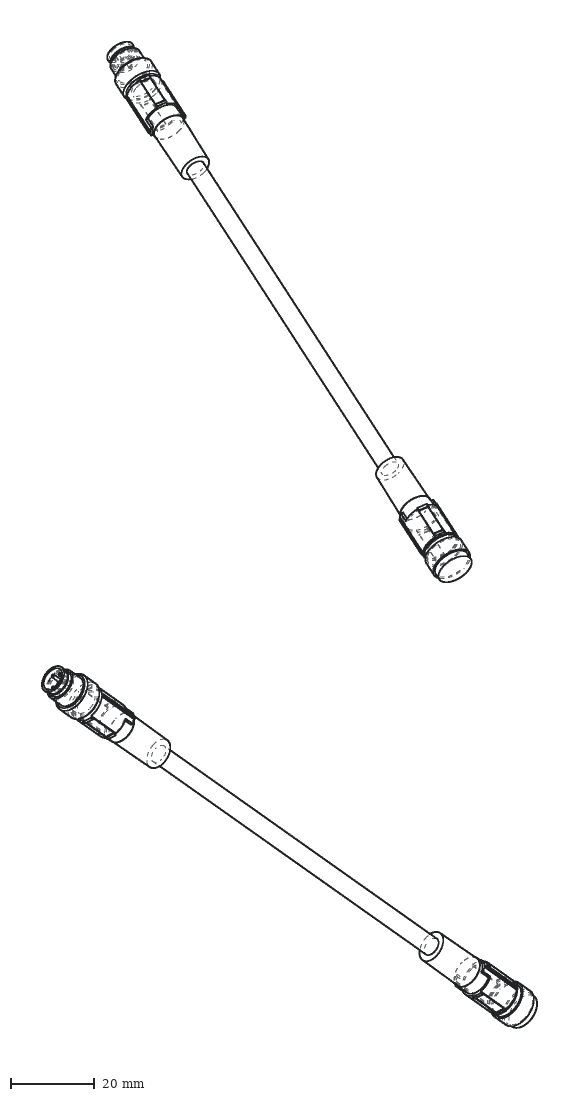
import cadquery as cq
import math

total_length = 172.4
grip_diameter = 10.0

cable_diameter = 4.6
sleeve_diameter = 8.0
sleeve_cable_end_width = 7.5
plug_sleeve_start = 25.1
plug_sleeve_end = 38.7
socket_sleeve_start = 138.8
socket_sleeve_end = 151.9

body_diameter = 9.3
neck_diameter = 8.2
plug_body_start = 12.5
plug_body_end = 21.6
socket_body_start = 155.4
socket_body_end = 164.7

pad_width = 2.6
pad_rim = 0.8
pad_recess = 0.3

panel_width = 3.2
fin_thickness = 0.6
plug_panel_end = 24.3
socket_panel_start = 152.8
fin_chamfer = 0.5

nose_diameter = 7.0
nose_groove_diameter = 6.4
nose_lip_end = 0.4
nose_groove_end = 1.6
nose_end = 2.6
shank_diameter = 8.0

ring_start = 6.4
ring_end = 11.7
ring_chamfer_length = 0.5
ring_edge_diameter = 9.0
plug_groove_diameter = 6.2

nut_gap_width = 0.4
nut_gap_diameter = 8.4
nut_diameter = 9.0
band_start = 166.5
band_end = 170.6

chamber_diameter = 5.8
chamber_depth = 4.0
pin_diameter = 0.8
pin_circle_radius = 1.9
pin_angles = (68, 141, 219, 292)
pin_setback = 0.8


def cylinder(diameter, start, end):
    """Round bar on the X axis between two stations."""
    return cq.Workplane("YZ", origin=(start, 0, 0)).circle(diameter / 2).extrude(end - start)


def centered_box(start, end, width, height):
    """Block centered on the X axis, between two stations."""
    return cq.Workplane("YZ", origin=(start, 0, 0)).rect(width, height).extrude(end - start)


def revolved(profile):
    """Solid of revolution about the X axis from (station, radius) points."""
    return cq.Workplane("XY").polyline(profile).close().revolve(360, (0, 0, 0), (1, 0, 0))


def plug_nose():
    """Grooved nose and the shank behind it; the groove has a sloped front wall."""
    nose_radius = nose_diameter / 2
    return revolved(
        [
            (0, 0),
            (0, nose_radius),
            (nose_lip_end, nose_radius),
            (nose_groove_end, nose_groove_diameter / 2),
            (nose_groove_end, nose_radius),
            (nose_end, nose_radius),
            (nose_end, shank_diameter / 2),
            (ring_start, shank_diameter / 2),
            (ring_start, 0),
        ]
    )


def coupling_ring():
    """Ring with both edges chamfered."""
    edge_radius = ring_edge_diameter / 2
    outer_radius = grip_diameter / 2
    return revolved(
        [
            (ring_start, 0),
            (ring_start, edge_radius),
            (ring_start + ring_chamfer_length, outer_radius),
            (ring_end - ring_chamfer_length, outer_radius),
            (ring_end, edge_radius),
            (ring_end, 0),
        ]
    )


def grip(start, end, panels_start, panels_end):
    """Round body with recessed pads at top and bottom and finned panels on both sides."""
    body = cylinder(body_diameter, start, end)

    panels = cylinder(body_diameter, panels_start, panels_end)
    body = body.union(panels.intersect(centered_box(panels_start, panels_end, grip_diameter, panel_width)))

    fins = centered_box(panels_start, panels_end, grip_diameter, fin_thickness)
    if panels_start < start:
        fins = fins.faces("<X").edges("|Z").chamfer(fin_chamfer)
    body = body.union(fins)

    body = body.union(centered_box(start, end, pad_width, grip_diameter))
    recess_start = start + pad_rim
    recess_end = end - pad_rim
    recess_blank = centered_box(recess_start, recess_end, pad_width, grip_diameter)
    recess_floor = centered_box(recess_start, recess_end, pad_width, grip_diameter - 2 * pad_recess)
    return body.cut(recess_blank.cut(recess_floor))


def sleeve(grip_end, cable_end):
    """Strain relief, round at the grip and narrowing in Y toward the cable."""
    radius = sleeve_diameter / 2
    return (
        cq.Workplane("YZ", origin=(grip_end, 0, 0))
        .ellipse(radius, radius)
        .workplane(offset=cable_end - grip_end)
        .ellipse(sleeve_cable_end_width / 2, radius)
        .loft()
    )


def contact_chamber():
    """Space inside the plug nose, around the contact pins."""
    chamber = cylinder(chamber_diameter, 0, chamber_depth)
    for angle in pin_angles:
        pin_y = pin_circle_radius * math.cos(math.radians(angle))
        pin_z = pin_circle_radius * math.sin(math.radians(angle))
        pin = cylinder(pin_diameter, pin_setback, chamber_depth).translate((0, pin_y, pin_z))
        chamber = chamber.cut(pin)
    return chamber


plain_sections = (
    (plug_groove_diameter, ring_end, plug_body_start),
    (neck_diameter, plug_body_end, plug_sleeve_start),
    (cable_diameter, plug_sleeve_end, socket_sleeve_start),
    (neck_diameter, socket_sleeve_end, socket_body_start),
    (nut_gap_diameter, socket_body_end, socket_body_end + nut_gap_width),
    (nut_diameter, socket_body_end + nut_gap_width, total_length),
    (grip_diameter, band_start, band_end),
)

result = plug_nose().union(coupling_ring())
for section_diameter, section_start, section_end in plain_sections:
    result = result.union(cylinder(section_diameter, section_start, section_end))
result = result.union(sleeve(plug_sleeve_start, plug_sleeve_end))
result = result.union(sleeve(socket_sleeve_end, socket_sleeve_start))
result = result.union(grip(plug_body_start, plug_body_end, plug_body_start, plug_panel_end))
result = result.union(grip(socket_body_start, socket_body_end, socket_panel_start, socket_body_end))
result = result.cut(contact_chamber())